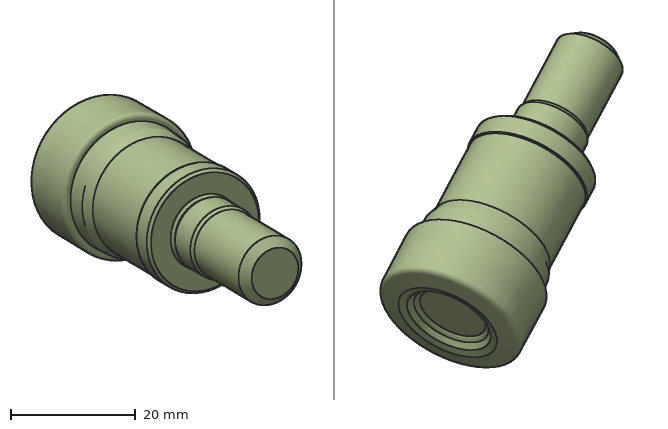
import cadquery as cq
import math


cap_length = 11.5
bore_radius = 6.55

cap_radius = 12.5
band_radius = 12.4
band_end = 2.55
front_face_radius = 11.7
crest_radius = 8.65
rim_radius = 7.35
front_cone_depth = 0.5
front_round_end = 1.55
rim_depth = 0.4
lip_end = 1.3
back_round = 0.8

dish_floor = 1.95
dish_floor_radius = 5.75
dish_step = 1.65
dish_step_radius = 6.05

neck_front_radius = 11.2
neck_back_radius = 11.05
neck_end = 14.9
barrel_start = 17.0
barrel_radius = 20.6 / 2
collar_start = 30.9
collar_end = 34.85
collar_radius = 21.0 / 2
collar_step = collar_radius - barrel_radius
collar_chamfer = 0.5

relief_front_radius = 6.4
relief_x = 35.4
relief_radius = 5.85
land_start = 36.05
land_end = 40.85
land_radius = 12.5 / 2
stem_start = 41.55
stem_radius = 11.75 / 2
stem_end = 56.95
stem_chamfer = 1.55


def turn(profile):
    """Revolve a closed (x, radius) profile about the X axis."""
    return profile.close().revolve(360, (0, 0, 0), (1, 0, 0))


def make_cap():
    """Annular cap with a shallow conical front, a slightly tapered side and rounded outer corners."""
    diagonal = math.sqrt(0.5)
    round_mid = (
        front_round_end - (front_round_end - front_cone_depth) * diagonal,
        front_face_radius + (band_radius - front_face_radius) * diagonal,
    )
    back_mid = (
        cap_length - back_round * (1 - diagonal),
        cap_radius - back_round * (1 - diagonal),
    )
    profile = (
        cq.Workplane("XY")
        .moveTo(rim_depth, rim_radius)
        .lineTo(0, crest_radius)
        .lineTo(front_cone_depth, front_face_radius)
        .threePointArc(round_mid, (front_round_end, band_radius))
        .lineTo(band_end, band_radius)
        .lineTo(cap_length - back_round, cap_radius)
        .threePointArc(back_mid, (cap_length, cap_radius - back_round))
        .lineTo(cap_length, bore_radius)
        .lineTo(lip_end, bore_radius)
    )
    return turn(profile)


def make_spindle():
    """Stepped spindle whose dished nose fills the cap bore and whose shoulder meets the cap's back."""
    profile = cq.Workplane("XY").polyline([
        (dish_floor, 0),
        (dish_floor, dish_floor_radius),
        (dish_step, dish_step_radius),
        (lip_end, bore_radius),
        (cap_length, bore_radius),
        (cap_length, neck_front_radius),
        (neck_end, neck_back_radius),
        (barrel_start, barrel_radius),
        (collar_start, barrel_radius),
        (collar_start + collar_step, collar_radius),
        (collar_end - collar_chamfer, collar_radius),
        (collar_end, collar_radius - collar_chamfer),
        (collar_end, relief_front_radius),
        (relief_x, relief_radius),
        (land_start, land_radius),
        (land_end, land_radius),
        (stem_start, stem_radius),
        (stem_end - stem_chamfer, stem_radius),
        (stem_end, stem_radius - stem_chamfer),
        (stem_end, 0),
    ])
    return turn(profile)


cap = make_cap()
spindle = make_spindle()

result = cq.Compound.makeCompound([cap.val(), spindle.val()])